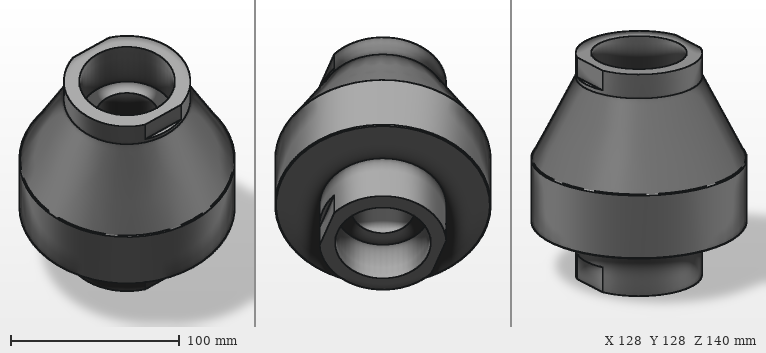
import cadquery as cq

total_height = 140.0
body_bottom = 33.2
body_top = 73.9
cone_top = 124.9

body_diameter = 128.0
neck_diameter = 75.0
edge_chamfer = 0.7

through_diameter = 38.0
socket_diameter = 56.7
socket_depth = 29.5

flat_width = 70.0
bottom_flat_height = 15.7
top_flat_height = 12.5


def cylinder(diameter, bottom, height):
    """Vertical cylinder on the part axis."""
    return cq.Workplane("XY").workplane(offset=bottom).circle(diameter / 2).extrude(height)


def outer_body():
    """Revolved bottom neck, drum, cone and top neck."""
    neck_radius = neck_diameter / 2
    body_radius = body_diameter / 2
    return (
        cq.Workplane("XZ")
        .moveTo(0, 0)
        .lineTo(neck_radius, 0)
        .lineTo(neck_radius, body_bottom)
        .lineTo(body_radius - edge_chamfer, body_bottom)
        .lineTo(body_radius, body_bottom + edge_chamfer)
        .lineTo(body_radius, body_top - edge_chamfer)
        .lineTo(body_radius - edge_chamfer, body_top)
        .lineTo(neck_radius, cone_top)
        .lineTo(neck_radius, total_height)
        .lineTo(0, total_height)
        .close()
        .revolve(360, (0, 0, 0), (0, 1, 0))
    )


def flat_cutters(bottom, height):
    """Pair of blocks that leave flats on the -X and +X sides of a neck."""
    block = cq.Workplane("XY").box(
        neck_diameter, body_diameter, height, centered=(False, True, False)
    )
    right = block.translate((flat_width / 2, 0, bottom))
    return right.union(right.mirror("YZ"))


result = outer_body()

result = result.cut(flat_cutters(0, bottom_flat_height))
result = result.cut(flat_cutters(total_height - top_flat_height, top_flat_height))

result = result.cut(cylinder(through_diameter, 0, total_height))
for socket_bottom in (0, total_height - socket_depth):
    result = result.cut(cylinder(socket_diameter, socket_bottom, socket_depth))